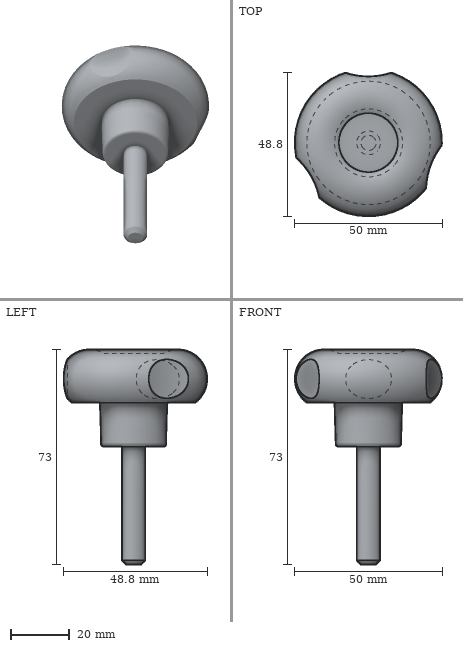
import cadquery as cq
import math

total_height = 73.0
shank_length = 40.0
hub_height = 14.95
head_base_z = shank_length + hub_height

head_diameter = 50.0
head_radius = head_diameter / 2
tube_radius = 10.0
tube_center_radius = head_radius - tube_radius
tube_center_z = total_height - tube_radius
recess_radius = 10.0

hub_top_radius = 11.5
hub_bottom_radius = 11.1
hub_edge_fillet = 1.0

shank_radius = 4.0
shank_tip_chamfer = 1.45

scallop_angles = (90, 210, 340)
scallop_depth = 2.5
scallop_radius = head_radius
scallop_axis_radius = head_radius - scallop_depth + scallop_radius


def make_head():
    base_drop = tube_center_z - head_base_z
    base_radius = tube_center_radius + math.sqrt(tube_radius**2 - base_drop**2)
    recess_offset = tube_center_radius - recess_radius
    recess_z = tube_center_z + math.sqrt(tube_radius**2 - recess_offset**2)
    return (
        cq.Workplane("XZ")
        .moveTo(0, head_base_z)
        .lineTo(base_radius, head_base_z)
        .threePointArc((head_radius, tube_center_z), (recess_radius, recess_z))
        .lineTo(0, recess_z)
        .close()
        .revolve(360, (0, 0, 0), (0, 1, 0))
    )


def make_scallop_cutters():
    axis_points = [
        (
            scallop_axis_radius * math.cos(math.radians(angle)),
            scallop_axis_radius * math.sin(math.radians(angle)),
        )
        for angle in scallop_angles
    ]
    return (
        cq.Workplane("XY", origin=(0, 0, head_base_z))
        .pushPoints(axis_points)
        .circle(scallop_radius)
        .extrude(total_height - head_base_z)
    )


def make_hub():
    return (
        cq.Workplane("XY", origin=(0, 0, shank_length))
        .circle(hub_bottom_radius)
        .workplane(offset=hub_height)
        .circle(hub_top_radius)
        .loft(ruled=True)
        .faces("<Z")
        .edges()
        .fillet(hub_edge_fillet)
    )


def make_shank():
    return (
        cq.Workplane("XY")
        .circle(shank_radius)
        .extrude(shank_length)
        .faces("<Z")
        .chamfer(shank_tip_chamfer)
    )


head = make_head().cut(make_scallop_cutters())
result = head.union(make_hub()).union(make_shank())